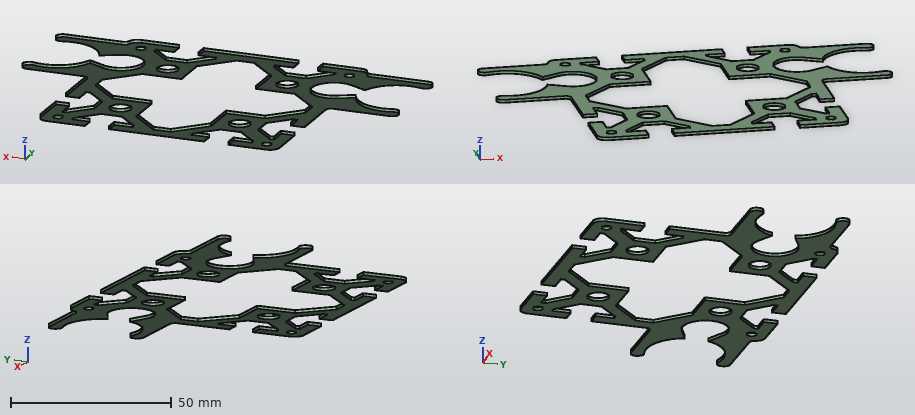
import cadquery as cq
import math

overall_length = 126.0
body_size = 80.0
thickness = 1.0
body_half = body_size / 2
corner_radius = 3.2

hub_offset = body_size / 4
hub_half = 15.0 / 2
bore_diameter = 6.9
hub_inner = hub_offset - hub_half
hub_outer = hub_offset + hub_half

corner_hole_inset = 5.0
corner_hole_diameter = 3.0

slot_opening = 8.2
slot_lip = 4.5
slot_cavity_width = 20.2
slot_floor_width = 6.9

window_half = 35.2
window_flat_half = 2.9
window_slant = hub_inner - window_flat_half

clip_half_width = 16.3
finger_tip_radius = 2.1
clip_fillet = 1.8
pocket_radius = 12.6
throat_half = 3.8
socket_radius = 7.4
socket_center_x = 35.7


def extrude(sketch):
    """Give a closed outline the plate thickness."""
    return sketch.extrude(thickness)


def plane():
    return cq.Workplane("XY")


def make_shoulder():
    """Right-hand fillet that blends the upper bar edge into the rounded body corner."""
    bar_top = hub_offset + clip_half_width
    corner_center = body_half - corner_radius
    fillet_y = bar_top + clip_fillet
    rise = fillet_y - corner_center
    center_distance = corner_radius + clip_fillet
    run = math.sqrt(center_distance**2 - rise**2)
    fillet_x = corner_center + run

    corner_share = corner_radius / center_distance
    contact = (corner_center + run * corner_share, corner_center + rise * corner_share)
    contact_angle = math.atan2(-rise, -run)
    mid_angle = (contact_angle - math.pi / 2) / 2
    mid = (fillet_x + clip_fillet * math.cos(mid_angle), fillet_y + clip_fillet * math.sin(mid_angle))
    outline = (
        plane()
        .moveTo(corner_center, bar_top - clip_fillet)
        .lineTo(fillet_x, bar_top - clip_fillet)
        .lineTo(fillet_x, bar_top)
        .threePointArc(mid, contact)
        .lineTo(corner_center, corner_center)
        .close()
    )
    return extrude(outline)


def make_blank():
    """Rounded square body with a bar across it for the two clips."""
    body = extrude(plane().rect(body_size, body_size)).edges("|Z").fillet(corner_radius)
    bar = extrude(plane().center(0, hub_offset).rect(overall_length, 2 * clip_half_width))
    blank = body.union(bar)

    bar_bottom = hub_offset - clip_half_width
    reach = 0.1
    for x in (-body_half, body_half):
        joint = cq.selectors.BoxSelector(
            (x - reach, bar_bottom - reach, 0), (x + reach, bar_bottom + reach, thickness)
        )
        blank = blank.edges(joint).fillet(clip_fillet)

    shoulder = make_shoulder()
    return blank.union(shoulder).union(shoulder.mirror("YZ"))


def make_clip_opening():
    """Opening of the right-hand clip, from the socket out to the rounded finger tips."""
    bar_end = overall_length / 2
    tip_x = bar_end - finger_tip_radius
    tip_y = clip_half_width - finger_tip_radius
    center_distance = pocket_radius + finger_tip_radius
    pocket_x = tip_x - math.sqrt(center_distance**2 - tip_y**2)
    pocket_share = pocket_radius / center_distance
    tangent_x = pocket_x + (tip_x - pocket_x) * pocket_share
    tangent_y = tip_y * pocket_share

    throat_x = pocket_x - math.sqrt(pocket_radius**2 - throat_half**2)
    throat_distance = math.hypot(throat_x - socket_center_x, throat_half)
    throat_angle = math.atan2(throat_half, throat_x - socket_center_x)
    contact_angle = throat_angle + math.acos(socket_radius / throat_distance)
    contact_x = socket_center_x + socket_radius * math.cos(contact_angle)
    contact_y = socket_radius * math.sin(contact_angle)

    pocket_start_angle = math.atan2(throat_half, throat_x - pocket_x)
    pocket_end_angle = math.atan2(tip_y, tip_x - pocket_x)
    pocket_mid_angle = (pocket_start_angle + pocket_end_angle) / 2
    pocket_mid_x = pocket_x + pocket_radius * math.cos(pocket_mid_angle)
    pocket_mid_y = pocket_radius * math.sin(pocket_mid_angle)

    clearance = 1.3
    outline = (
        plane()
        .moveTo(contact_x, contact_y)
        .threePointArc((socket_center_x - socket_radius, 0), (contact_x, -contact_y))
        .lineTo(throat_x, -throat_half)
        .threePointArc((pocket_mid_x, -pocket_mid_y), (tangent_x, -tangent_y))
        .threePointArc((bar_end, -tip_y), (tip_x, -clip_half_width))
        .lineTo(tip_x, -clip_half_width - clearance)
        .lineTo(bar_end + clearance, -clip_half_width - clearance)
        .lineTo(bar_end + clearance, clip_half_width + clearance)
        .lineTo(tip_x, clip_half_width + clearance)
        .lineTo(tip_x, clip_half_width)
        .threePointArc((bar_end, tip_y), (tangent_x, tangent_y))
        .threePointArc((pocket_mid_x, pocket_mid_y), (throat_x, throat_half))
        .close()
    )
    return extrude(outline).translate((0, hub_offset, 0))


def make_slot():
    """T-slot from the top edge of the body down to the hub, centred on X = 0."""
    slope = (slot_cavity_width - slot_floor_width) / 2
    lip_y = body_half - slot_lip
    right_side = [
        (slot_opening / 2, body_half),
        (slot_opening / 2, lip_y),
        (slot_cavity_width / 2, lip_y),
        (slot_cavity_width / 2, hub_outer + slope),
        (slot_floor_width / 2, hub_outer),
    ]
    left_side = [(-x, y) for x, y in reversed(right_side)]
    return extrude(plane().polyline(right_side + left_side).close())


def make_window():
    """Central cross-shaped window; its four arms taper at 45 degrees."""
    shoulder = window_half - window_slant
    arm = [
        (hub_inner, hub_inner),
        (hub_inner, shoulder),
        (window_flat_half, window_half),
        (-window_flat_half, window_half),
        (-hub_inner, shoulder),
        (-hub_inner, hub_inner),
    ]
    arm_blank = extrude(plane().polyline(arm).close())
    window = extrude(plane().rect(2 * hub_inner, 2 * hub_inner))
    for angle in (0, 90, 180, 270):
        window = window.union(arm_blank.rotate((0, 0, 0), (0, 0, 1), angle))
    return window


def make_holes(offset, diameter):
    """Four holes on a square pattern."""
    return extrude(plane().rect(2 * offset, 2 * offset, forConstruction=True).vertices().circle(diameter / 2))


plate = make_blank()

clip_opening = make_clip_opening()
plate = plate.cut(clip_opening).cut(clip_opening.mirror("YZ"))

slot = make_slot()
slot_places = ((0, -1), (0, 1), (180, -1), (180, 1), (90, -1), (-90, 1))
for angle, side in slot_places:
    placed_slot = slot.translate((side * hub_offset, 0, 0)).rotate((0, 0, 0), (0, 0, 1), angle)
    plate = plate.cut(placed_slot)

plate = plate.cut(make_window())
plate = plate.cut(make_holes(hub_offset, bore_diameter))
plate = plate.cut(make_holes(body_half - corner_hole_inset, corner_hole_diameter))

result = plate